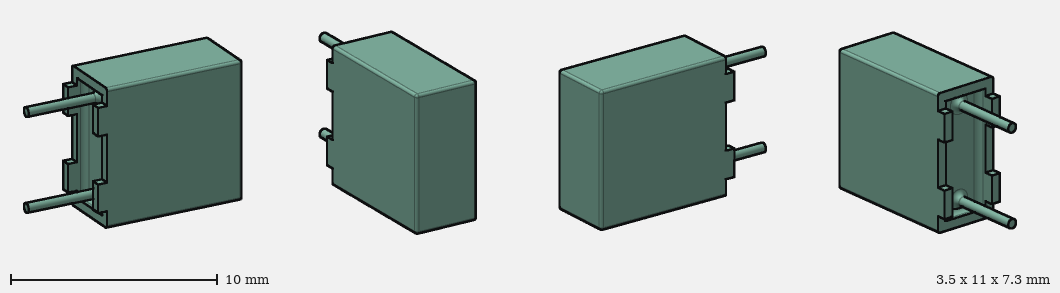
import cadquery as cq
import math

overall_length = 11
body_width = 3.5
body_height = 7.3
body_length = 7.5
edge_radius = 0.15

recess_width = 2.5
recess_height = 6.27
recess_depth = 0.5
recess_fillet = 0.3

tab_length = 0.5
tab_height = 1.5
tab_pitch = 4.0

lead_diameter = 0.5
lead_pitch = 5.0
meniscus_radius = 0.3
root_depth = 0.22

lead_radius = lead_diameter / 2
wall_side = (body_width - recess_width) / 2
face_y = overall_length / 2 - body_length
floor_y = face_y + recess_depth
lead_tip_y = -overall_length / 2


def make_body():
    """Solid block, rounded along its length and around its back face."""
    block = cq.Workplane("XY").box(body_width, body_length, body_height)
    block = block.edges("|Y").fillet(edge_radius)
    block = block.faces(">Y").edges().fillet(edge_radius)
    return block.translate((0, face_y + body_length / 2, 0))


def make_recess():
    """Rectangular pocket with a filleted floor."""
    pocket = cq.Workplane("XY").box(recess_width, recess_depth, recess_height)
    pocket = pocket.faces(">Y").edges().fillet(recess_fillet)
    return pocket.translate((0, face_y + recess_depth / 2, 0))


def make_tab(side, center_z):
    """Standoff block flush with one side of the body, as wide as the recess wall."""
    center_x = side * (body_width - wall_side) / 2
    tab = cq.Workplane("XY").box(wall_side, tab_length, tab_height)
    return tab.translate((center_x, face_y - tab_length / 2, center_z))


def make_lead(center_z):
    """Round wire flaring out in a concave meniscus where it meets the recess floor."""
    flare_radius = lead_radius + meniscus_radius
    arc_inset = meniscus_radius * (1 - math.sqrt(0.5))
    profile = (
        cq.Workplane("XY")
        .moveTo(0, lead_tip_y)
        .lineTo(lead_radius, lead_tip_y)
        .lineTo(lead_radius, floor_y - meniscus_radius)
        .threePointArc((lead_radius + arc_inset, floor_y - arc_inset), (flare_radius, floor_y))
        .lineTo(flare_radius, floor_y + root_depth)
        .lineTo(0, floor_y + root_depth)
        .close()
    )
    return profile.revolve(360, (0, 0, 0), (0, 1, 0)).translate((0, 0, center_z))


result = make_body().cut(make_recess())
for end in (-1, 1):
    result = result.union(make_lead(end * lead_pitch / 2))
    for side in (-1, 1):
        result = result.union(make_tab(side, end * tab_pitch / 2))